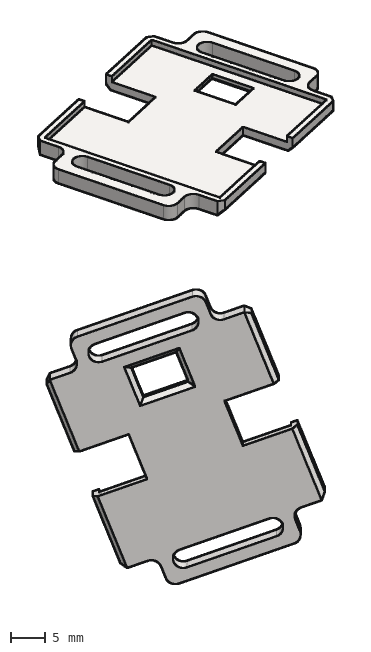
import cadquery as cq

length = 42.0
body_side = 32.0
thickness = 2.5

floor_thickness = 1.5
rim_width = 1.0
corner_chamfer = 0.8
bottom_chamfer = 0.8

loop_width = 21.0
loop_radius = 1.5
slot_length = 17.0
slot_width = 3.0
slot_center_y = body_side / 2 + slot_width / 2

waist_width = 15.0
notch_width = 7.6
notch_depth = (body_side - waist_width) / 2
window_width = 7.0
window_height = 5.0
window_center_y = 10.75
window_flare = 0.8


def make_body():
    """Square plate with cut corners and bevelled lower side edges."""
    plate = cq.Workplane("XY").box(body_side, body_side, thickness, centered=(True, True, False))
    plate = plate.edges("|Z").chamfer(corner_chamfer)
    return plate.faces("<Z").edges("<X or >X").chamfer(bottom_chamfer)


def make_loops():
    """One strip through the plate whose rounded ends form both strap loops."""
    strip = cq.Workplane("XY").box(loop_width, length, thickness, centered=(True, True, False))
    return strip.edges("|Z").fillet(loop_radius)


def round_loop_roots(part):
    """Fillet the inside corners where the loops leave the plate."""
    search_margin = 0.2
    for x_side in (-1, 1):
        for y_side in (-1, 1):
            x = x_side * loop_width / 2
            y = y_side * body_side / 2
            selector = cq.selectors.BoxSelector(
                (x - search_margin, y - search_margin, -search_margin),
                (x + search_margin, y + search_margin, thickness + search_margin),
            )
            part = part.edges("|Z").edges(selector).fillet(loop_radius)
    return part


def cut_tray(part):
    """Sink the square tray, leaving a narrow rim."""
    tray_side = body_side - 2 * rim_width
    return part.cut(
        cq.Workplane("XY").workplane(offset=floor_thickness).rect(tray_side, tray_side).extrude(thickness)
    )


def cut_openings(part):
    """Cut the strap slots, side notches and window, which flares out at 45 degrees underneath."""
    slots = (
        cq.Workplane("XY")
        .pushPoints([(0, -slot_center_y), (0, slot_center_y)])
        .slot2D(slot_length, slot_width)
        .extrude(thickness)
    )
    notch_center_x = (body_side - notch_depth) / 2
    notches = (
        cq.Workplane("XY")
        .pushPoints([(-notch_center_x, 0), (notch_center_x, 0)])
        .rect(notch_depth, notch_width)
        .extrude(thickness)
    )
    window = (
        cq.Workplane("XY")
        .center(0, window_center_y)
        .rect(window_width, window_height)
        .extrude(thickness)
        .faces("<Z")
        .workplane(invert=True)
        .rect(window_width + 2 * window_flare, window_height + 2 * window_flare)
        .workplane(offset=window_flare)
        .rect(window_width, window_height)
        .loft(combine=True)
    )
    return part.cut(slots).cut(notches).cut(window)


outline = round_loop_roots(make_body().union(make_loops()))
result = cut_openings(cut_tray(outline))